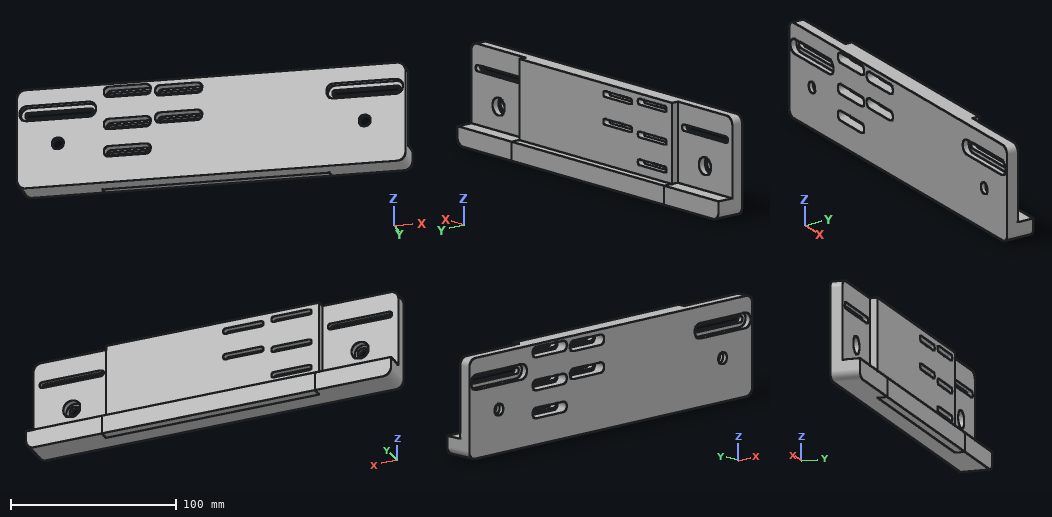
import cadquery as cq

length = 241.3
height = 62.7
depth = 19.0
corner_radius = 5.0

plate_thickness = 8.0
foot_height = 12.0

pad_length = 141.0
pad_thickness = 4.8
pad_start = (length - pad_length) / 2
pad_back = plate_thickness + pad_thickness

end_feature_x = 25.3
end_places = (end_feature_x, length - end_feature_x)
hole_z = 27.3
hole_diameter = 7.2
counterbore_diameter = 11.0
counterbore_depth = 4.8

long_slot_z = 47.5
long_recess_length = 47.5
long_recess_width = 9.7
long_recess_depth = 4.3
long_slot_length = 42.2
long_slot_width = 3.9

short_recess_length = 29.2
short_recess_width = 6.5
short_recess_depth = plate_thickness
short_slot_length = 26.5
short_slot_width = 3.5
left_column_x = 68.5
left_column_z = (19.8, 37.2, 57.7)
right_column_x = 100.5
right_column_z = (38.8, 56.2)
short_slot_places = [(left_column_x, z) for z in left_column_z]
short_slot_places += [(right_column_x, z) for z in right_column_z]


def box(x_start, x_end, y_start, y_end, z_start, z_end):
    """Box between two limits along each axis."""
    size = (x_end - x_start, y_end - y_start, z_end - z_start)
    return cq.Workplane("XY").box(*size, centered=False).translate((x_start, y_start, z_start))


def round_cutter(x, z, diameter, y_start, y_end):
    """Cylinder running along Y."""
    return cq.Workplane("XZ", origin=(x, y_start, z)).circle(diameter / 2).extrude(y_start - y_end)


def slot_cutter(x, z, slot_length, slot_width, y_start, y_end):
    """Round-ended slot lying along X and running in Y."""
    return cq.Workplane("XZ", origin=(x, y_start, z)).slot2D(slot_length, slot_width).extrude(y_start - y_end)


def make_blank():
    """Rounded L section with the pad standing on the foot and against the plate."""
    blank = box(0, length, 0, depth, 0, height).edges("|Y").fillet(corner_radius)
    blank = blank.cut(box(0, length, plate_thickness, depth, foot_height, height))
    return blank.union(box(pad_start, length - pad_start, plate_thickness, pad_back, foot_height, height))


def cut_holes(body):
    """Through holes with counterbores in the back face of the plate."""
    counterbore_start = plate_thickness - counterbore_depth
    for x in end_places:
        body = body.cut(round_cutter(x, hole_z, hole_diameter, 0, plate_thickness))
        body = body.cut(round_cutter(x, hole_z, counterbore_diameter, counterbore_start, plate_thickness))
    return body


def cut_long_slots(body):
    """Long through slots with wider recesses in the front face."""
    for x in end_places:
        body = body.cut(slot_cutter(x, long_slot_z, long_recess_length, long_recess_width, 0, long_recess_depth))
        body = body.cut(slot_cutter(x, long_slot_z, long_slot_length, long_slot_width, 0, plate_thickness))
    return body


def cut_short_slots(body):
    """Short through slots with wider recesses in the front face."""
    for x, z in short_slot_places:
        body = body.cut(slot_cutter(x, z, short_recess_length, short_recess_width, 0, short_recess_depth))
        body = body.cut(slot_cutter(x, z, short_slot_length, short_slot_width, 0, pad_back))
    return body


def make_bar():
    """Bar behind the pad that fills the gap in the foot."""
    return box(pad_start, length - pad_start, pad_back, depth, 0, foot_height)


bar = make_bar()
bracket = cut_short_slots(cut_long_slots(cut_holes(make_blank().cut(bar))))

result = cq.Compound.makeCompound([bracket.val(), bar.val()])